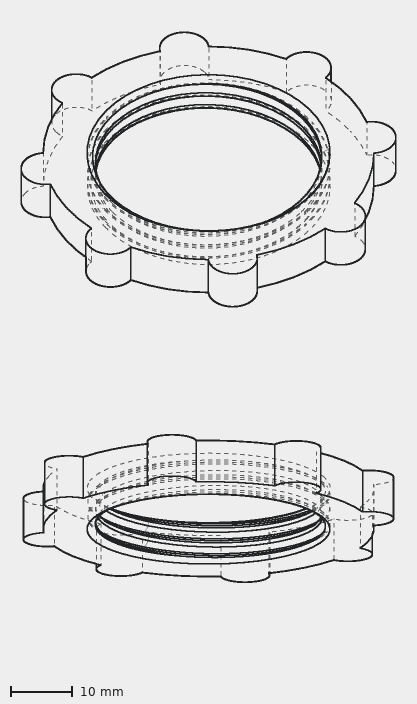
import cadquery as cq
import math

overall_diameter = 61.4
height = 7.0
body_radius = 26.85

lobe_count = 8
lobe_radius = 4.0
lobe_center_radius = overall_diameter / 2 - lobe_radius

mouth_radius = 39.4 / 2
root_clearance = 0.05
major_radius = mouth_radius - root_clearance
pitch = 2.5
thread_depth = 1.3
minor_radius = major_radius - thread_depth
root_width = pitch / 8
flank_slope = math.tan(math.radians(30))
bore_overlap = 0.2
turn_count = 4

countersink_depth = (mouth_radius - minor_radius) * flank_slope


def make_body():
    """Plain ring blank with evenly spaced round lobes."""
    body = cq.Workplane("XY").circle(body_radius).extrude(height)
    lobes = (
        cq.Workplane("XY")
        .polarArray(lobe_center_radius, 0, 360, lobe_count)
        .circle(lobe_radius)
        .extrude(height)
    )
    return body.union(lobes)


def make_bore():
    """Minor-diameter bore widening to the mouth diameter at both faces."""
    return (
        cq.Workplane("XZ")
        .moveTo(0, 0)
        .lineTo(mouth_radius, 0)
        .lineTo(minor_radius, countersink_depth)
        .lineTo(minor_radius, height - countersink_depth)
        .lineTo(mouth_radius, height)
        .lineTo(0, height)
        .close()
        .revolve(360, (0, 0), (0, 1))
    )


def make_groove_turn(start_z):
    """One turn of trapezoidal groove, its root centred on start_z at the +X side."""
    inner_radius = minor_radius - bore_overlap
    half_root = root_width / 2
    half_mouth = half_root + (major_radius - inner_radius) * flank_slope
    profile = (
        cq.Workplane("XZ")
        .moveTo(inner_radius, start_z - half_mouth)
        .lineTo(major_radius, start_z - half_root)
        .lineTo(major_radius, start_z + half_root)
        .lineTo(inner_radius, start_z + half_mouth)
        .close()
    )
    path = cq.Wire.makeHelix(pitch, pitch, major_radius, cq.Vector(0, 0, start_z))
    return profile.sweep(cq.Workplane(obj=path), isFrenet=True)


result = make_body().cut(make_bore())

top_turn_z = height - root_width / 2
for turn in range(turn_count):
    result = result.cut(make_groove_turn(top_turn_z - turn * pitch))